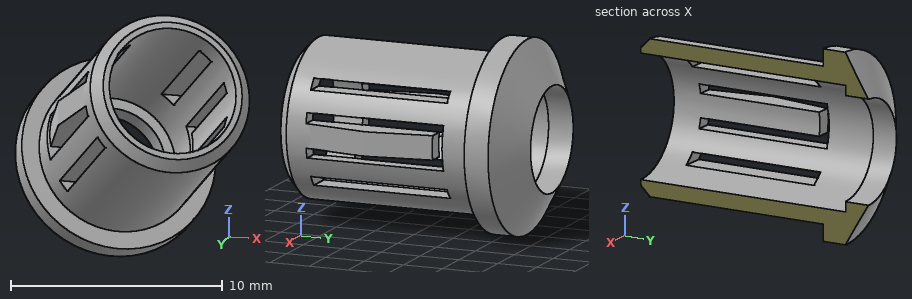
import cadquery as cq
import math

length = 12.5
flange_radius = 4.75
flange_back = 10.0
cone_height = 1.28
cone_base = length - cone_height
barrel_radius = 3.9
end_chamfer = 0.5
bore_radius = 3.1
lip_radius = 2.6
lip_start = cone_base

slot_start = 1.5
slot_end = 8.5
slot_width = 0.5
tongue_half_width = 0.6
window_half_width = tongue_half_width + slot_width
web_width = 1.0
outer_slot_center = window_half_width + web_width + slot_width / 2

tongue_end = slot_end - slot_width
tongue_peak = (slot_start + tongue_end) / 2
peak_radius = 4.35
ramp_foot = math.sqrt(barrel_radius**2 - tongue_half_width**2)


def cross_box(y_start, y_end, width, z_center=0.0):
    """Box running across the whole part along X."""
    size_y = y_end - y_start
    center = (0, y_start + size_y / 2, z_center)
    return cq.Workplane("XY").box(2 * flange_radius, size_y, width).translate(center)


def make_sleeve():
    """Revolved shell with chamfered end, flange, cone and inner lip."""
    profile = [
        (bore_radius, 0),
        (barrel_radius - end_chamfer, 0),
        (barrel_radius, end_chamfer),
        (barrel_radius, flange_back),
        (flange_radius, flange_back),
        (flange_radius, cone_base),
        (lip_radius, length),
        (lip_radius, lip_start),
        (bore_radius, lip_start),
    ]
    outline = cq.Workplane("XY").polyline(profile).close()
    return outline.revolve(360, (0, 0, 0), (0, 1, 0))


def make_tongues(sleeve):
    """Pair of wall strips, each with a ridge of two outward ramps."""
    tongues = sleeve.intersect(cross_box(slot_start, tongue_end, 2 * tongue_half_width))
    for side in (-1, 1):
        root = side * (bore_radius + barrel_radius) / 2
        ridge_profile = [
            (root, slot_start),
            (side * ramp_foot, slot_start),
            (side * peak_radius, tongue_peak),
            (side * ramp_foot, tongue_end),
            (root, tongue_end),
        ]
        outline = cq.Workplane("XY").polyline(ridge_profile).close()
        ridge = outline.extrude(tongue_half_width, both=True)
        tongues = tongues.union(ridge)
    return tongues


sleeve = make_sleeve()
body = sleeve.cut(cross_box(slot_start, slot_end, 2 * window_half_width))
for side in (-1, 1):
    body = body.cut(cross_box(slot_start, slot_end, slot_width, side * outer_slot_center))

result = body.union(make_tongues(sleeve))